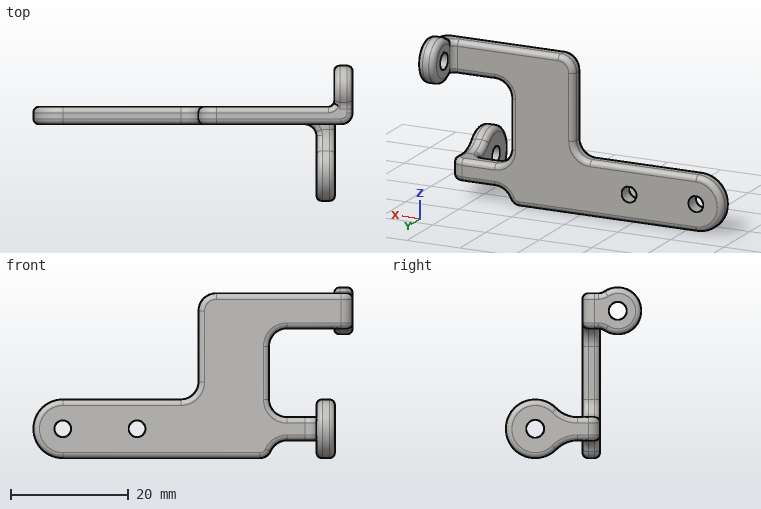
import cadquery as cq
import math

plate_thickness = 3.0
ear_thickness = 3.17
edge_round = 1.0

bar_height = 10.0
bar_end_radius = bar_height / 2
upright_left = 28.0
upright_right = 40.0
plate_top = 28.0
corner_radius = 3.0
heel_radius = 2.0
mount_hole_diameter = 2.8
mount_hole_positions = (5.0, 17.6)
mount_hole_height = bar_height / 2

lower_ear_inner_x = 48.0
lower_ear_y = -8.0
lower_ear_z = bar_height / 2
lower_ear_radius = 5.0
lower_neck_width = 4.0
lower_neck_fillet = 5.0
lower_inner_bend = 2.0
lower_outer_bend = 2.0

upper_ear_inner_x = 51.0
upper_ear_y = 6.0
upper_ear_radius = 4.0
upper_neck_width = 6.0
upper_ear_z = plate_top - upper_neck_width / 2
upper_neck_fillet = 2.0
upper_inner_bend = 1.0
upper_outer_bend = 2.0
elbow_depth = 2.0

ear_hole_diameter = 3.0

arm_start = upright_right + corner_radius


def diagonal(radius):
    """Distance along each axis from an arc centre to its 45 degree point."""
    return radius * math.sqrt(0.5)


def make_plate():
    """Flat stepped plate, up to the start of both arms."""
    r = corner_radius
    d = diagonal(r)
    neck_top = lower_ear_z + lower_neck_width / 2
    neck_bottom = lower_ear_z - lower_neck_width / 2
    upper_arm_bottom = plate_top - upper_neck_width

    throat_z = neck_bottom - r
    centre_rise = heel_radius - throat_z
    heel_x = arm_start - math.sqrt((r + heel_radius) ** 2 - centre_rise ** 2)
    share = r / (r + heel_radius)
    meet_x = arm_start + share * (heel_x - arm_start)
    meet_z = throat_z + share * centre_rise
    heel_turn = math.atan2(arm_start - heel_x, centre_rise)
    heel_mid = (
        heel_x + heel_radius * math.sin(heel_turn / 2),
        heel_radius - heel_radius * math.cos(heel_turn / 2),
    )
    throat_angle = (math.atan2(meet_z - throat_z, meet_x - arm_start) + math.pi / 2) / 2
    throat_mid = (
        arm_start + r * math.cos(throat_angle),
        throat_z + r * math.sin(throat_angle),
    )

    outline = (
        cq.Workplane("XZ")
        .moveTo(bar_end_radius, 0)
        .threePointArc((0, bar_end_radius), (bar_end_radius, bar_height))
        .lineTo(upright_left - r, bar_height)
        .threePointArc((upright_left - r + d, bar_height + r - d), (upright_left, bar_height + r))
        .lineTo(upright_left, plate_top - r)
        .threePointArc((upright_left + r - d, plate_top - r + d), (upright_left + r, plate_top))
        .lineTo(arm_start, plate_top)
        .lineTo(arm_start, upper_arm_bottom)
        .threePointArc(
            (arm_start - d, upper_arm_bottom - r + d),
            (upright_right, upper_arm_bottom - r),
        )
        .lineTo(upright_right, neck_top + r)
        .threePointArc((arm_start - d, neck_top + r - d), (arm_start, neck_top))
        .lineTo(arm_start, neck_bottom)
        .threePointArc(throat_mid, (meet_x, meet_z))
        .threePointArc(heel_mid, (heel_x, 0))
        .close()
    )
    return outline.extrude(-plate_thickness)


def make_lower_strip():
    """Bent strip, as tall as the bar: along X in the plate, then along -Y to the ear tip."""
    inner_x = lower_ear_inner_x
    outer_x = inner_x + ear_thickness
    tip_y = lower_ear_y - lower_ear_radius
    outer_inset = lower_outer_bend - diagonal(lower_outer_bend)
    inner_inset = lower_inner_bend - diagonal(lower_inner_bend)
    profile = (
        cq.Workplane("XY")
        .moveTo(arm_start, plate_thickness)
        .lineTo(outer_x - lower_outer_bend, plate_thickness)
        .threePointArc(
            (outer_x - outer_inset, plate_thickness - outer_inset),
            (outer_x, plate_thickness - lower_outer_bend),
        )
        .lineTo(outer_x, tip_y)
        .lineTo(inner_x, tip_y)
        .lineTo(inner_x, -lower_inner_bend)
        .threePointArc((inner_x - inner_inset, -inner_inset), (inner_x - lower_inner_bend, 0))
        .lineTo(arm_start, 0)
        .close()
    )
    return profile.extrude(bar_height)


def make_ear_prism(ear_y, ear_z, ear_radius, neck_width, neck_fillet):
    """Round ear with a filleted neck reaching across the plate, extruded along X."""
    side = math.copysign(1, ear_y)
    root_y = 0 if side > 0 else plate_thickness
    half_neck = neck_width / 2
    reach = ear_radius + neck_fillet
    fillet_z = half_neck + neck_fillet
    fillet_y = -math.sqrt(reach ** 2 - fillet_z ** 2)
    meet = (fillet_y * ear_radius / reach, fillet_z * ear_radius / reach)
    mid_angle = math.atan2(-fillet_z, -fillet_y) / 2 - math.pi / 4
    fillet_mid = (
        fillet_y + neck_fillet * math.cos(mid_angle),
        fillet_z + neck_fillet * math.sin(mid_angle),
    )

    def place(point, mirror=1):
        """Turn a (distance beyond the ear centre, height above it) pair into Y and Z."""
        return (ear_y + side * point[0], ear_z + mirror * point[1])

    profile = (
        cq.Workplane("YZ", origin=(arm_start, 0, 0))
        .moveTo(root_y, ear_z + half_neck)
        .lineTo(*place((fillet_y, half_neck)))
        .threePointArc(place(fillet_mid), place(meet))
        .threePointArc(place((ear_radius, 0)), place(meet, -1))
        .threePointArc(place(fillet_mid, -1), place((fillet_y, half_neck), -1))
        .lineTo(root_y, ear_z - half_neck)
        .close()
    )
    length = upper_ear_inner_x + ear_thickness - arm_start
    return profile.extrude(length)


def make_lower_arm():
    """Lower arm and ear: the bent strip trimmed to the ear and neck outline."""
    ear = make_ear_prism(
        lower_ear_y, lower_ear_z, lower_ear_radius, lower_neck_width, lower_neck_fillet
    )
    return make_lower_strip().intersect(ear)


def make_upper_arm():
    """Upper arm inside the plate thickness, with the outer bend at its end."""
    length = upper_ear_inner_x + ear_thickness - arm_start
    arm = (
        cq.Workplane("XY", origin=(arm_start, 0, plate_top - upper_neck_width))
        .rect(length, plate_thickness, centered=False)
        .extrude(upper_neck_width)
    )
    return arm.faces(">X").edges("<Y").fillet(upper_outer_bend)


def make_upper_ear():
    """Upper ear standing on the end of its arm, with its inner side rounded."""
    ear = make_ear_prism(
        upper_ear_y, upper_ear_z, upper_ear_radius, upper_neck_width, upper_neck_fillet
    )
    tip_y = upper_ear_y + upper_ear_radius
    envelope = (
        cq.Workplane("XY", origin=(upper_ear_inner_x, upper_outer_bend, 0))
        .rect(ear_thickness, tip_y - upper_outer_bend, centered=False)
        .extrude(plate_top + upper_ear_radius)
    )
    ear = ear.intersect(envelope)
    return ear.faces("<X").edges("%CIRCLE").edges(">Y").fillet(edge_round)


def round_back(body):
    """Round the outline on the back of the plate; it is one smooth chain of edges."""
    return body.faces("<Z").edges("|X").edges(">Y").fillet(edge_round)


def round_front(body):
    """Round the outline on the front of the plate and the far sides of the ears."""
    return body.faces("<Z").edges("|X").edges("<Y").fillet(edge_round)


def make_upper_elbow():
    """Quarter turn filling the inner bend, with the edge rounding carried around it."""
    axis_x = upper_ear_inner_x - upper_inner_bend
    axis_y = plate_thickness + upper_inner_bend
    outer_reach = upper_inner_bend + elbow_depth
    round_start = upper_inner_bend + edge_round
    round_mid = round_start - diagonal(edge_round)
    half_height = upper_neck_width / 2
    flat_height = half_height - edge_round
    mid_height = flat_height + diagonal(edge_round)
    section = (
        cq.Workplane("YZ", origin=(axis_x, axis_y, upper_ear_z))
        .moveTo(-outer_reach, half_height)
        .lineTo(-round_start, half_height)
        .threePointArc((-round_mid, mid_height), (-upper_inner_bend, flat_height))
        .lineTo(-upper_inner_bend, -flat_height)
        .threePointArc((-round_mid, -mid_height), (-round_start, -half_height))
        .lineTo(-outer_reach, -half_height)
        .close()
    )
    return section.revolve(90, (0, 0), (0, 1))


def make_mount_holes():
    """Pins that cut the two holes through the bar."""
    centres = [(x, mount_hole_height) for x in mount_hole_positions]
    return (
        cq.Workplane("XZ")
        .pushPoints(centres)
        .circle(mount_hole_diameter / 2)
        .extrude(-plate_thickness)
    )


def make_ear_hole(inner_x, ear_y, ear_z):
    """Pin that cuts the hole through the middle of one ear."""
    return (
        cq.Workplane("YZ", origin=(inner_x, ear_y, ear_z))
        .circle(ear_hole_diameter / 2)
        .extrude(ear_thickness)
    )


body = make_plate().union(make_lower_arm()).union(make_upper_arm()).clean()
body = round_back(body)
body = body.union(make_upper_ear())
body = body.union(make_upper_elbow()).clean()
body = round_front(body)
body = body.cut(make_mount_holes())
body = body.cut(make_ear_hole(lower_ear_inner_x, lower_ear_y, lower_ear_z))
body = body.cut(make_ear_hole(upper_ear_inner_x, upper_ear_y, upper_ear_z))

result = body